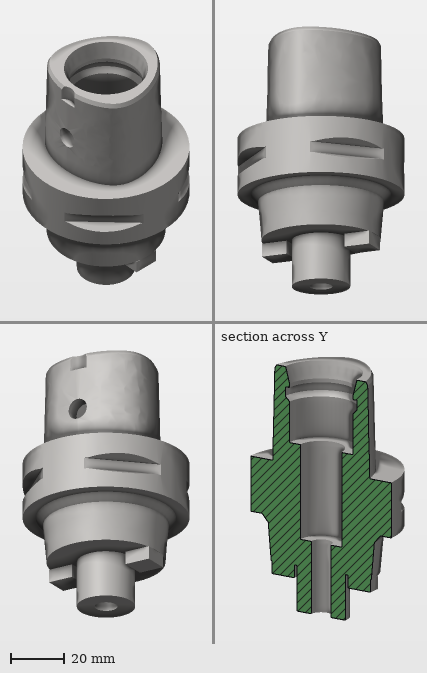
import cadquery as cq
import math

TOTAL_HEIGHT = 96.0
FLANGE_TOP = 58.0
FLANGE_BOTTOM = 36.0
NECK_TOP = 33.0
NECK_BOTTOM = 18.0
KEY_BOTTOM = 13.0

FLANGE_RADIUS = 31.5
SHOULDER_RADIUS = 26.5
NECK_TOP_RADIUS = 23.8
NECK_BOTTOM_RADIUS = 22.5
ARBOR_RADIUS = 11.0

SHANK_BASE_RADIUS = 22.2
LOBE_HEIGHT = 1.4
LOBE_COUNT = 3
TAPER_PER_HEIGHT = 1 / 40
LEAD_IN_HEIGHT = 1.5
LEAD_IN_WIDTH = 0.9
OUTLINE_POINTS = 48

MOUTH_RADIUS = 15.8
BORE_RADIUS = 14.0
MOUTH_DEPTH = 6.6
UNDERCUT_RADIUS = 15.9
UNDERCUT_START = 8.2
UNDERCUT_END = 11.8
BORE_SHOULDER_DEPTH = UNDERCUT_END + UNDERCUT_RADIUS - BORE_RADIUS
BORE_DEPTH = 29.8
SCREW_BORE_RADIUS = 9.1
SCREW_BORE_FLOOR = 28.8
THROUGH_HOLE_RADIUS = 4.3

NOTCH_RADIUS = 4.5
NOTCH_DISTANCE = 22.5
NOTCH_FLOOR = 89.9
SIDE_HOLE_RADIUS = 4.0
SIDE_HOLE_HEIGHT = 73.5
SIDE_HOLE_FLOOR_DISTANCE = 14.4

GROOVE_COUNT = 4
GROOVE_HEIGHT = 46.0
GROOVE_FLOOR_DISTANCE = 27.7
GROOVE_FLOOR_WIDTH = 4.3
GROOVE_WALL_DEPTH = 0.7
GROOVE_FLANK_ANGLE = 30.0

KEY_INNER = 11.9
KEY_OUTER = 22.2
KEY_WIDTH = 10.1


def lobed_outline(mean_radius, height):
    """Closed constant-width curve with three lobes, at the given height."""
    points = []
    for index in range(OUTLINE_POINTS):
        angle = 2 * math.pi * index / OUTLINE_POINTS
        support = mean_radius + LOBE_HEIGHT * math.cos(LOBE_COUNT * angle)
        slope = -LOBE_COUNT * LOBE_HEIGHT * math.sin(LOBE_COUNT * angle)
        along_lobe = support * math.cos(angle) - slope * math.sin(angle)
        across_lobe = support * math.sin(angle) + slope * math.cos(angle)
        points.append(cq.Vector(-across_lobe, along_lobe, height))
    return cq.Wire.assembleEdges([cq.Edge.makeSpline(points, periodic=True)])


def lobed_frustum(bottom_radius, bottom, top_radius, top):
    wires = [lobed_outline(bottom_radius, bottom), lobed_outline(top_radius, top)]
    return cq.Workplane(obj=cq.Solid.makeLoft(wires, True))


def make_shank():
    lead_in_start = TOTAL_HEIGHT - LEAD_IN_HEIGHT
    lead_in_radius = SHANK_BASE_RADIUS - TAPER_PER_HEIGHT * (lead_in_start - FLANGE_TOP)
    taper = lobed_frustum(SHANK_BASE_RADIUS, FLANGE_TOP, lead_in_radius, lead_in_start)
    lead_in = lobed_frustum(lead_in_radius, lead_in_start, lead_in_radius - LEAD_IN_WIDTH, TOTAL_HEIGHT)
    return taper.union(lead_in)


def revolve_profile(points):
    """Turn a (radius, height) outline around the Z axis."""
    return cq.Workplane("XZ").polyline(points).close().revolve(360, (0, 0, 0), (0, 1, 0))


def make_turned_body():
    return revolve_profile([
        (0, 0),
        (ARBOR_RADIUS, 0),
        (ARBOR_RADIUS, NECK_BOTTOM),
        (NECK_BOTTOM_RADIUS, NECK_BOTTOM),
        (NECK_TOP_RADIUS, NECK_TOP),
        (SHOULDER_RADIUS, FLANGE_BOTTOM),
        (FLANGE_RADIUS, FLANGE_BOTTOM),
        (FLANGE_RADIUS, FLANGE_TOP),
        (0, FLANGE_TOP),
    ])


def make_bore():
    return revolve_profile([
        (0, TOTAL_HEIGHT),
        (MOUTH_RADIUS, TOTAL_HEIGHT),
        (BORE_RADIUS, TOTAL_HEIGHT - MOUTH_DEPTH),
        (BORE_RADIUS, TOTAL_HEIGHT - UNDERCUT_START),
        (UNDERCUT_RADIUS, TOTAL_HEIGHT - UNDERCUT_START),
        (UNDERCUT_RADIUS, TOTAL_HEIGHT - UNDERCUT_END),
        (BORE_RADIUS, TOTAL_HEIGHT - BORE_SHOULDER_DEPTH),
        (BORE_RADIUS, TOTAL_HEIGHT - BORE_DEPTH),
        (SCREW_BORE_RADIUS, TOTAL_HEIGHT - BORE_DEPTH),
        (SCREW_BORE_RADIUS, SCREW_BORE_FLOOR),
        (THROUGH_HOLE_RADIUS, SCREW_BORE_FLOOR),
        (THROUGH_HOLE_RADIUS, 0),
        (0, 0),
    ])


def make_notch():
    depth = TOTAL_HEIGHT - NOTCH_FLOOR
    return (
        cq.Workplane("XY", origin=(0, -NOTCH_DISTANCE, NOTCH_FLOOR))
        .circle(NOTCH_RADIUS)
        .extrude(depth)
    )


def make_side_hole():
    return (
        cq.Workplane("XZ", origin=(0, -SIDE_HOLE_FLOOR_DISTANCE, SIDE_HOLE_HEIGHT))
        .circle(SIDE_HOLE_RADIUS)
        .extrude(FLANGE_RADIUS - SIDE_HOLE_FLOOR_DISTANCE)
    )


def make_groove(direction):
    """Straight groove across the flange rim: narrow walls at the floor, then flared flanks."""
    half_floor = GROOVE_FLOOR_WIDTH / 2
    flank_start = GROOVE_FLOOR_DISTANCE + GROOVE_WALL_DEPTH
    flare = (FLANGE_RADIUS - flank_start) * math.tan(math.radians(GROOVE_FLANK_ANGLE))
    half_mouth = half_floor + flare
    return (
        cq.Workplane("XZ", origin=(0, 0, GROOVE_HEIGHT))
        .polyline([
            (GROOVE_FLOOR_DISTANCE, -half_floor),
            (flank_start, -half_floor),
            (FLANGE_RADIUS, -half_mouth),
            (FLANGE_RADIUS, half_mouth),
            (flank_start, half_floor),
            (GROOVE_FLOOR_DISTANCE, half_floor),
        ])
        .close()
        .extrude(FLANGE_RADIUS, both=True)
        .rotate((0, 0, 0), (0, 0, 1), direction)
    )


def make_key(side):
    length = KEY_OUTER - KEY_INNER
    middle = side * (KEY_INNER + KEY_OUTER) / 2
    return (
        cq.Workplane("XY", origin=(middle, 0, KEY_BOTTOM))
        .rect(length, KEY_WIDTH)
        .extrude(NECK_BOTTOM - KEY_BOTTOM)
    )


body = make_turned_body().union(make_shank())
for side in (-1, 1):
    body = body.union(make_key(side))
body = body.cut(make_bore()).cut(make_notch()).cut(make_side_hole())

groove_spacing = 360 / GROOVE_COUNT
for index in range(GROOVE_COUNT):
    body = body.cut(make_groove(groove_spacing * (index + 0.5)))

result = body